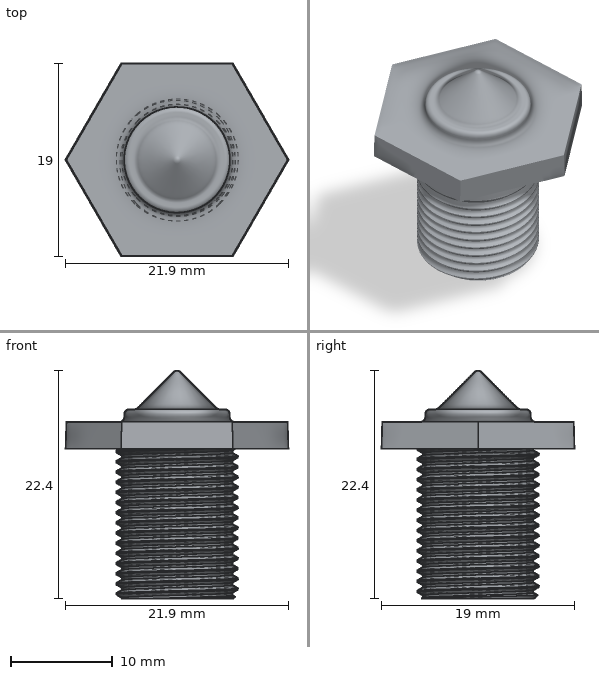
import cadquery as cq
import math

shaft_length = 14.75
head_height = 2.65
boss_height = 1.25

across_flats = 19.0
across_corners = across_flats / math.cos(math.radians(30))
head_draft = 1.5

boss_radius = 5.2
cone_slope = 45.0
cone_base_radius = 4.0
round_radius = 0.5

pitch = 1.0
major_radius = 6.0
crest_flat = pitch / 8
root_flat = pitch / 4
flank_rise = (pitch - crest_flat - root_flat) / 2
flank_angle = 30.0
minor_radius = major_radius - flank_rise / math.tan(math.radians(flank_angle))
crest_phase = -0.02
end_chamfer = 0.5

thread_overrun = 2 * pitch
root_overlap = 0.1

head_bottom = shaft_length
head_top = head_bottom + head_height
boss_top = head_top + boss_height


def make_head():
    return (
        cq.Workplane("XY", origin=(0, 0, head_bottom))
        .polygon(6, across_corners)
        .extrude(head_height, taper=head_draft)
    )


def make_point():
    """Rounded boss and cone, turned about Z."""
    apex = boss_top + cone_base_radius
    half_cone_slope = math.radians(cone_slope / 2)
    half_diagonal = round_radius * math.sqrt(0.5)
    tangent_length = round_radius * math.tan(half_cone_slope)
    foot_outer = cone_base_radius + tangent_length
    foot_inner = cone_base_radius - tangent_length * math.sqrt(0.5)
    foot_mid = (
        foot_outer - round_radius * math.sin(half_cone_slope),
        boss_top + round_radius * (1 - math.cos(half_cone_slope)),
    )
    tip_centre = apex - round_radius * math.sqrt(2)
    tip_mid = (
        round_radius * math.sin(half_cone_slope),
        tip_centre + round_radius * math.cos(half_cone_slope),
    )
    corner_inset = round_radius - half_diagonal
    profile = (
        cq.Workplane("XZ")
        .moveTo(0, head_bottom)
        .lineTo(boss_radius + round_radius, head_bottom)
        .lineTo(boss_radius + round_radius, head_top)
        .threePointArc(
            (boss_radius + corner_inset, head_top + corner_inset),
            (boss_radius, head_top + round_radius),
        )
        .lineTo(boss_radius, boss_top - round_radius)
        .threePointArc(
            (boss_radius - corner_inset, boss_top - corner_inset),
            (boss_radius - round_radius, boss_top),
        )
        .lineTo(foot_outer, boss_top)
        .threePointArc(foot_mid, (foot_inner, apex - foot_inner))
        .lineTo(half_diagonal, apex - half_diagonal)
        .threePointArc(tip_mid, (0, tip_centre + round_radius))
        .close()
    )
    return profile.revolve(360, (0, 0, 0), (0, 1, 0))


def make_thread_ridge():
    """Helical ridge, longer than the shaft at both ends."""
    start = crest_phase - thread_overrun
    length = shaft_length + 2 * thread_overrun
    root_half = (pitch - root_flat) / 2
    sunk_half = root_half + root_overlap * math.tan(math.radians(flank_angle))
    sunk_radius = minor_radius - root_overlap
    helix = cq.Wire.makeHelix(pitch, length, minor_radius, cq.Vector(0, 0, start))
    return (
        cq.Workplane("XZ")
        .polyline(
            [
                (sunk_radius, start - sunk_half),
                (major_radius, start - crest_flat / 2),
                (major_radius, start + crest_flat / 2),
                (sunk_radius, start + sunk_half),
            ]
        )
        .close()
        .sweep(cq.Workplane(obj=helix), isFrenet=True)
    )


def make_shaft():
    """Threaded shaft, chamfered at its free end."""
    core = cq.Workplane("XY").circle(minor_radius).extrude(shaft_length)
    envelope_clearance = 0.5
    envelope = (
        cq.Workplane("XY")
        .circle(major_radius + envelope_clearance)
        .extrude(shaft_length)
        .faces("<Z")
        .chamfer(end_chamfer + envelope_clearance)
    )
    return core.union(make_thread_ridge().intersect(envelope))


result = make_shaft().union(make_head()).union(make_point())